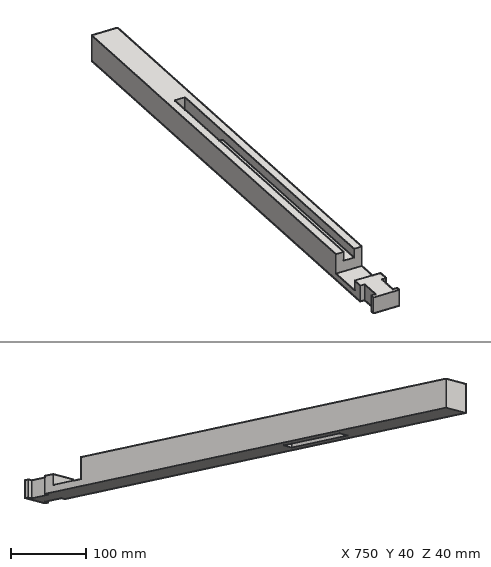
import cadquery as cq

length = 750.0
side = 40.0

body_end = 650.0
head_start = 700.0
tongue_thickness = 10.0
head_height = 25.0

waist_start = 715.0
flange_thickness = 6.0
waist_depth = 7.0
waist_end = length - flange_thickness

slot_start = 200.0
slot_width = 16.0
slot_depth = 13.5
window_end = 300.0


def block(x_start, x_end, y_start, y_end, z_start, z_end):
    """Box between two limits along each axis."""
    size = (x_end - x_start, y_end - y_start, z_end - z_start)
    return cq.Workplane("XY").box(*size, centered=False).translate((x_start, y_start, z_start))


def bar_with_head():
    """Side profile of the body, tongue and head, extruded across the bar."""
    profile = [
        (0, 0),
        (length, 0),
        (length, head_height),
        (head_start, head_height),
        (head_start, tongue_thickness),
        (body_end, tongue_thickness),
        (body_end, side),
        (0, side),
    ]
    return cq.Workplane("XZ").polyline(profile).close().extrude(-side)


def waist_notches():
    """Matching notches in both sides of the head."""
    near = block(waist_start, waist_end, 0, waist_depth, 0, head_height)
    far = block(waist_start, waist_end, side - waist_depth, side, 0, head_height)
    return near.union(far)


def slot_and_window():
    """Long shallow slot whose first stretch passes through the bar."""
    y_start = (side - slot_width) / 2
    y_end = (side + slot_width) / 2
    slot = block(slot_start, body_end, y_start, y_end, side - slot_depth, side)
    window = block(slot_start, window_end, y_start, y_end, 0, side)
    return slot.union(window)


result = bar_with_head().cut(waist_notches()).cut(slot_and_window())